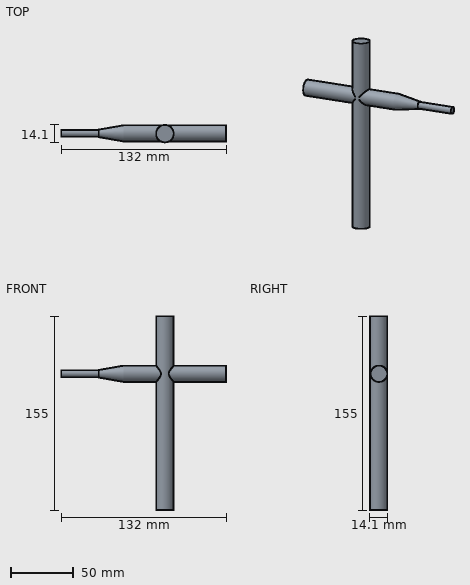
import cadquery as cq

post_diameter = 14.08
post_above_arm = 46.0
post_below_arm = 109.0

arm_offset_y = 0.27
arm_diameter = 13.2
arm_right_length = 49.0
arm_left_length = 33.0
cone_length = 20.0
cone_tip_diameter = 6.15
pin_diameter = 5.69
pin_length = 30.0

cone_base_x = -arm_left_length
cone_tip_x = cone_base_x - cone_length
pin_end_x = cone_tip_x - pin_length


def make_post():
    """Plain cylinder standing on the Z axis."""
    post_height = post_above_arm + post_below_arm
    post_base = cq.Workplane("XY").workplane(offset=-post_below_arm)
    return post_base.circle(post_diameter / 2).extrude(post_height)


def make_arm():
    """Pin, cone and round bar turned as one profile about an axis parallel to X."""
    return (
        cq.Workplane("XZ")
        .moveTo(pin_end_x, 0)
        .lineTo(pin_end_x, pin_diameter / 2)
        .lineTo(cone_tip_x, pin_diameter / 2)
        .lineTo(cone_tip_x, cone_tip_diameter / 2)
        .lineTo(cone_base_x, arm_diameter / 2)
        .lineTo(arm_right_length, arm_diameter / 2)
        .lineTo(arm_right_length, 0)
        .close()
        .revolve(360, (0, 0, 0), (1, 0, 0))
        .translate((0, arm_offset_y, 0))
    )


result = make_post().union(make_arm())